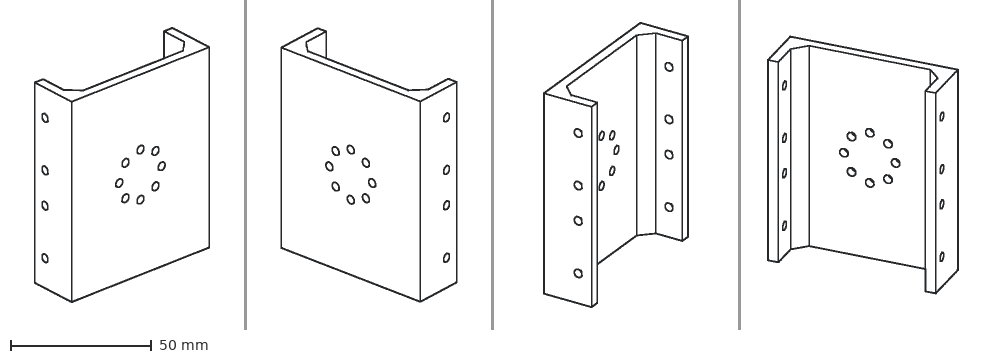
import cadquery as cq

depth = 20.0
width = 65.0
height = 80.0
wall = 4.0
corner_fill = 5.0

hole_diameter = 3.2
flange_hole_inset = 5.6
inner_hole_offset = 7.0
outer_hole_offset = 28.0
web_hole_count = 8
web_circle_radius = 10.0

front_x = -depth / 2
web_inner_x = depth / 2 - wall
flange_inner_y = width / 2 - wall


def channel():
    """C-shaped profile with filled inner corners, extruded along Z."""
    block = cq.Workplane("XY").box(depth, width, height)
    cavity = (
        cq.Workplane("XY")
        .workplane(offset=-height / 2)
        .moveTo(front_x, -flange_inner_y)
        .lineTo(web_inner_x - corner_fill, -flange_inner_y)
        .lineTo(web_inner_x, -flange_inner_y + corner_fill)
        .lineTo(web_inner_x, flange_inner_y - corner_fill)
        .lineTo(web_inner_x - corner_fill, flange_inner_y)
        .lineTo(front_x, flange_inner_y)
        .close()
        .extrude(height)
    )
    return block.cut(cavity)


def flange_holes():
    """A row of cylinders passing through both flanges along Y."""
    hole_x = front_x + flange_hole_inset
    heights = (-outer_hole_offset, -inner_hole_offset, inner_hole_offset, outer_hole_offset)
    return (
        cq.Workplane("XZ")
        .pushPoints([(hole_x, z) for z in heights])
        .circle(hole_diameter / 2)
        .extrude(width, both=True)
    )


def web_holes():
    """A ring of cylinders passing through the web along X."""
    return (
        cq.Workplane("YZ")
        .polarArray(web_circle_radius, 0, 360, web_hole_count)
        .circle(hole_diameter / 2)
        .extrude(depth)
    )


result = channel().cut(flange_holes()).cut(web_holes())